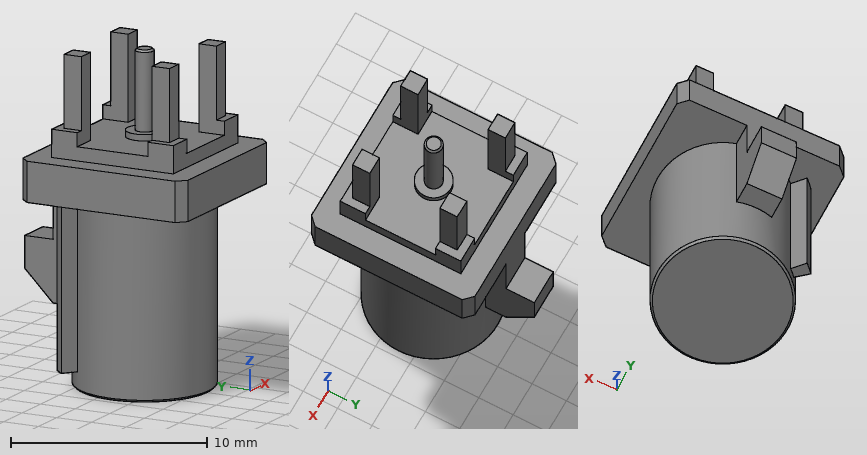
import cadquery as cq
import math

barrel_diameter = 7.42
barrel_radius = barrel_diameter / 2
barrel_end_chamfer = 0.12

flange_bottom = 10.15
flange_top = 12.32
floor_top = 13.06
corner_top = 13.8
overall_height = 17.7

flange_width = 9.5
flange_corner_chamfer = 0.48
platform_width = 7.01

leg_inner = 2.04
leg_width = 1.01
corner_block_width = platform_width / 2 - leg_inner

latch_width = 2.0
latch_back = flange_width / 2
latch_overhang = 1.65
latch_tip = latch_back + latch_overhang
latch_bottom = 3.91
latch_slope_top = 5.55
latch_step = 7.27

rib_outer_radius = 4.6
rib_start_angle = 132.4
rib_end_angle = 140.6
rib_bottom = 1.03

pin_diameter = 0.97
pin_tip_chamfer = 0.1
collar_diameter = 1.98
collar_top = 13.4


def square_block(width, bottom, top):
    """Square block centred on the Z axis."""
    return cq.Workplane("XY", origin=(0, 0, bottom)).rect(width, width).extrude(top - bottom)


def make_barrel():
    barrel = cq.Workplane("XY").circle(barrel_radius).extrude(flange_bottom)
    return barrel.faces("<Z").chamfer(barrel_end_chamfer)


def make_flange():
    flange = square_block(flange_width, flange_bottom, flange_top)
    return flange.edges("|Z").chamfer(flange_corner_chamfer)


def corner_posts(width, bottom, top):
    """Four square posts whose inner faces lie at leg_inner from the centre planes."""
    spacing = 2 * leg_inner + width
    plane = cq.Workplane("XY", origin=(0, 0, bottom))
    return plane.rarray(spacing, spacing, 2, 2).rect(width, width).extrude(top - bottom)


def make_latch():
    """Arm below the flange with a sloped hook; its root runs into the barrel."""
    profile = [
        (0, flange_bottom),
        (latch_back, flange_bottom),
        (latch_back, latch_step),
        (latch_tip, latch_step),
        (latch_tip, latch_slope_top),
        (latch_back, latch_bottom),
        (0, latch_bottom),
    ]
    return cq.Workplane("YZ").polyline(profile).close().extrude(latch_width / 2, both=True)


def polar_point(radius, angle):
    turn = math.radians(angle)
    return (radius * math.cos(turn), radius * math.sin(turn))


def make_rib():
    """Keying rib with radial sides, reaching in to the barrel axis."""
    middle_angle = (rib_start_angle + rib_end_angle) / 2
    return (
        cq.Workplane("XY", origin=(0, 0, rib_bottom))
        .lineTo(*polar_point(rib_outer_radius, rib_start_angle))
        .threePointArc(
            polar_point(rib_outer_radius, middle_angle),
            polar_point(rib_outer_radius, rib_end_angle),
        )
        .close()
        .extrude(flange_bottom - rib_bottom)
    )


def make_housing():
    return (
        make_barrel()
        .union(make_flange())
        .union(square_block(platform_width, flange_top, floor_top))
        .union(corner_posts(corner_block_width, floor_top, corner_top))
        .union(corner_posts(leg_width, floor_top, overall_height))
        .union(make_latch())
        .union(make_rib())
    )


def make_contact_pin():
    """Pin with a collar that rests on the platform."""
    plane = cq.Workplane("XY", origin=(0, 0, floor_top))
    pin = plane.circle(pin_diameter / 2).extrude(overall_height - floor_top)
    pin = pin.faces(">Z").chamfer(pin_tip_chamfer)
    collar = plane.circle(collar_diameter / 2).extrude(collar_top - floor_top)
    return pin.union(collar)


housing = make_housing()
contact_pin = make_contact_pin()
result = cq.Compound.makeCompound([housing.val(), contact_pin.val()])